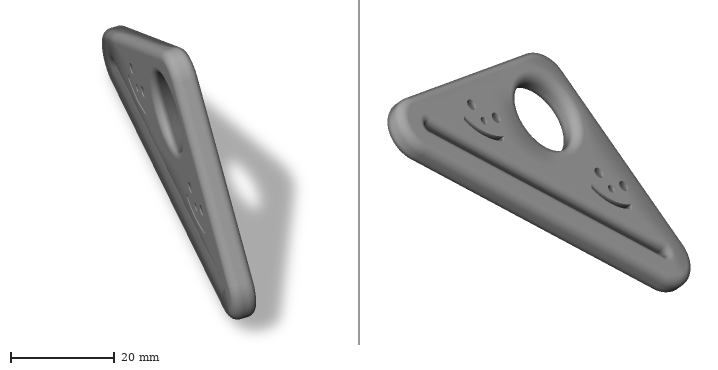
import cadquery as cq
import math

length = 75.1
thickness = 5.1
height = 40.0
bottom_radius = 6.5
top_radius = 6.6
edge_fillet = 1.8

ring_hole_diameter = 15.1
ring_hole_z = 25.1

slot_width = 1.4
slot_center_spacing = 59.9
slot_z = 6.75

face_offset = 16.3
eye_diameter = 2.25
eye_spacing = 6.3
eye_z = 17.2
nose_diameter = 1.65
nose_z = 14.9
mouth_width = 10.2
mouth_inner_radius = 9.8
mouth_gap = 1.05
mouth_bottom_z = 11.2


def front_plane():
    """Sketch plane with X to the right, Z up and its normal along -Y."""
    return cq.Workplane("XZ")


def extrude_through(sketch):
    """Extrude a sketch over the full thickness, evenly about Y = 0."""
    return sketch.extrude(thickness / 2, both=True)


def rounded_triangle():
    """Triangle with rounded corners, each arc tangent to the sides it joins."""
    corner_x = length / 2 - bottom_radius
    corner_z = bottom_radius
    top_z = height - top_radius
    center_distance = math.hypot(corner_x, top_z - corner_z)
    side_angle = math.atan2(top_z - corner_z, corner_x)
    side_angle += math.asin((top_radius - bottom_radius) / center_distance)
    low_x = corner_x + bottom_radius * math.sin(side_angle)
    low_z = corner_z + bottom_radius * math.cos(side_angle)
    high_x = top_radius * math.sin(side_angle)
    high_z = top_z + top_radius * math.cos(side_angle)
    outer_x = length / 2
    outline = (
        front_plane()
        .moveTo(-corner_x, 0)
        .lineTo(corner_x, 0)
        .threePointArc((outer_x, corner_z), (low_x, low_z))
        .lineTo(high_x, high_z)
        .threePointArc((0, height), (-high_x, high_z))
        .lineTo(-low_x, low_z)
        .threePointArc((-outer_x, corner_z), (-corner_x, 0))
        .close()
    )
    return extrude_through(outline)


def round_hole(x, z, diameter):
    return extrude_through(front_plane().center(x, z).circle(diameter / 2))


def strap_slot():
    slot_length = slot_center_spacing + slot_width
    return extrude_through(front_plane().center(0, slot_z).slot2D(slot_length, slot_width))


def mouth(x):
    """Curved slot between two concentric arcs, with upright ends."""
    outer_radius = mouth_inner_radius + mouth_gap
    center_z = mouth_bottom_z + outer_radius
    half_width = mouth_width / 2
    inner_end_z = center_z - math.sqrt(mouth_inner_radius**2 - half_width**2)
    outer_end_z = center_z - math.sqrt(outer_radius**2 - half_width**2)
    outline = (
        front_plane()
        .moveTo(x - half_width, inner_end_z)
        .threePointArc((x, center_z - mouth_inner_radius), (x + half_width, inner_end_z))
        .lineTo(x + half_width, outer_end_z)
        .threePointArc((x, mouth_bottom_z), (x - half_width, outer_end_z))
        .close()
    )
    return extrude_through(outline)


def cut_face(body, x):
    """Cut two eyes, a nose and a mouth centred on the given X."""
    for eye_x in (x - eye_spacing / 2, x + eye_spacing / 2):
        body = body.cut(round_hole(eye_x, eye_z, eye_diameter))
    body = body.cut(round_hole(x, nose_z, nose_diameter))
    return body.cut(mouth(x))


plate = rounded_triangle()
plate = plate.cut(round_hole(0, ring_hole_z, ring_hole_diameter))
plate = plate.cut(strap_slot())
plate = plate.faces("<Y or >Y").edges().fillet(edge_fillet)

for face_x in (-face_offset, face_offset):
    plate = cut_face(plate, face_x)

result = cq.Compound.makeCompound([plate.val()])